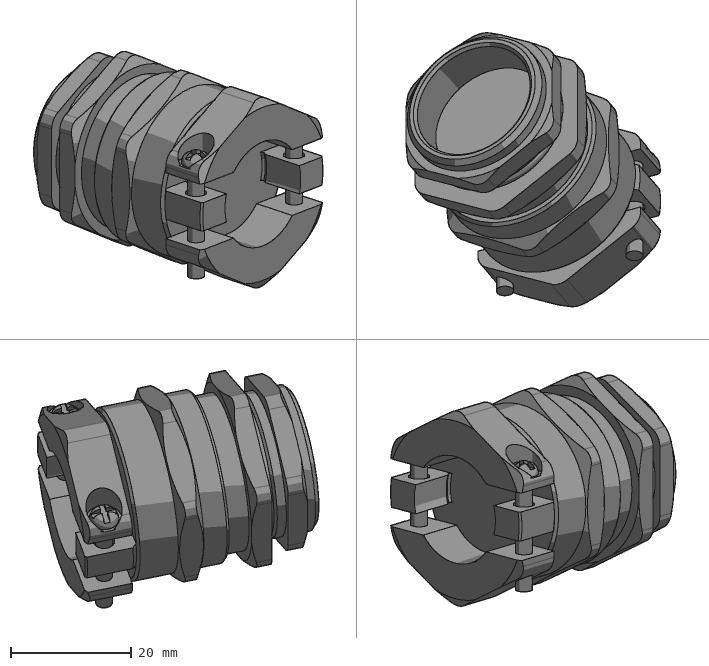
import cadquery as cq
import math


LENGTH = 41.2

BIG_FLATS = 30.0
NUT_FLATS = 26.95
HEX_CORNER_RADIUS = 3.0
HEX_BEVEL_ANGLE = 30.0

THREAD_RADIUS = 24.85 / 2
THREAD_CHAMFER = 0.82
THREAD_END = 7.4
GROOVE_BOTTOM = 7.85
SEAL_CENTER = 8.6
SEAL_CREST_RADIUS = 12.45
SEAL_SECTION_RADIUS = 0.82
ENTRY_BORE_RADIUS = 20.8 / 2
ENTRY_BORE_CHAMFER = 0.5
ENTRY_BORE_DEPTH = 7.55

NUT_START = 2.47
NUT_END = 5.85
NUT_FACE_RADIUS = 13.85

BODY_HEX_START = 9.05
BODY_HEX_END = 12.55
BODY_HEX_FACE_RADIUS = 15.1
NECK_RADIUS = 26.85 / 2
CAP_START = 16.25
CAP_END = 32.2
CAP_RADIUS = 29.5 / 2
CAP_CHAMFER = 0.5
CAP_HEX_START = 20.72
CAP_HEX_END = 25.15

CLAMP_START = 33.12
CLAMP_FACE_RADIUS = 15.4
CLAMP_BORE_RADIUS = 18.5 / 2
CLAMP_GAP = 11.7

LUG_RADIUS = BIG_FLATS / 2
LUG_HEIGHT = 5.03
LUG_START_CHAMFER = 0.75
LUG_END_CHAMFER = 0.35
LUG_HOLE_DIAMETER = 3.5
GRIP_GROOVE_RADIUS = 9.75
GRIP_GROOVE_SLOPE = 0.65

SCREW_X = 37.15
SCREW_Y = 11.95
SHANK_DIAMETER = 2.85
SCREW_TIP_Z = -12.28
SEAT_Z = 7.83
COUNTERBORE_DIAMETER = 6.0
HEAD_RADIUS = 2.47
HEAD_HEIGHT = 2.0
CROSS_WIDTH = 1.0
CROSS_DEPTH = 0.85


def revolve_about_x(profile):
    """Revolve a profile, drawn as (position along X, radius), about the gland axis."""
    return profile.close().revolve(360, (0, 0, 0), (1, 0, 0))


def hex_prism(start, end, flats):
    """Hexagon along X with two corners on the Z axis and rounded long edges."""
    corner_diameter = flats / math.cos(math.pi / 6)
    prism = cq.Workplane("YZ", origin=(start, 0, 0)).polygon(6, corner_diameter).extrude(end - start)
    upright = prism.rotate((0, 0, 0), (1, 0, 0), 90)
    return upright.edges("|X").fillet(HEX_CORNER_RADIUS)


def bevelled_hex(start, end, flats, start_face_radius=None, end_face_radius=None):
    """Hexagon whose corners are cut by a cone at each end that has a face radius."""
    outer = flats / math.cos(math.pi / 6) / 2
    slope = math.tan(math.radians(HEX_BEVEL_ANGLE))
    profile = cq.Workplane("XY").moveTo(start, 0)
    if start_face_radius:
        profile = profile.lineTo(start, start_face_radius)
        profile = profile.lineTo(start + (outer - start_face_radius) * slope, outer)
    else:
        profile = profile.lineTo(start, outer)
    if end_face_radius:
        profile = profile.lineTo(end - (outer - end_face_radius) * slope, outer)
        profile = profile.lineTo(end, end_face_radius)
    else:
        profile = profile.lineTo(end, outer)
    envelope = revolve_about_x(profile.lineTo(end, 0))
    return hex_prism(start, end, flats).intersect(envelope)


def seal_ring_radius(x):
    """Outer radius of the rounded sealing ring at a position along the axis."""
    rise = math.sqrt(SEAL_SECTION_RADIUS**2 - (x - SEAL_CENTER)**2)
    return SEAL_CREST_RADIUS - SEAL_SECTION_RADIUS + rise


def turned_body():
    """Entry thread, sealing ring, neck and cap as one turned shape."""
    profile = (
        cq.Workplane("XY")
        .moveTo(0, 0)
        .lineTo(0, THREAD_RADIUS - THREAD_CHAMFER)
        .lineTo(THREAD_CHAMFER, THREAD_RADIUS)
        .lineTo(THREAD_END, THREAD_RADIUS)
        .lineTo(GROOVE_BOTTOM, seal_ring_radius(GROOVE_BOTTOM))
        .threePointArc(
            (SEAL_CENTER, SEAL_CREST_RADIUS),
            (BODY_HEX_START, seal_ring_radius(BODY_HEX_START)),
        )
        .lineTo(BODY_HEX_START, NECK_RADIUS)
        .lineTo(CAP_START, NECK_RADIUS)
        .lineTo(CAP_START, CAP_RADIUS - CAP_CHAMFER)
        .lineTo(CAP_START + CAP_CHAMFER, CAP_RADIUS)
        .lineTo(CAP_END - CAP_CHAMFER, CAP_RADIUS)
        .lineTo(CAP_END, CAP_RADIUS - CAP_CHAMFER)
        .lineTo(CAP_END, 0)
    )
    return revolve_about_x(profile)


def entry_bore():
    """Blind bore from the thread end, with a chamfered mouth."""
    profile = (
        cq.Workplane("XY")
        .moveTo(0, 0)
        .lineTo(0, ENTRY_BORE_RADIUS + ENTRY_BORE_CHAMFER)
        .lineTo(ENTRY_BORE_CHAMFER, ENTRY_BORE_RADIUS)
        .lineTo(ENTRY_BORE_DEPTH, ENTRY_BORE_RADIUS)
        .lineTo(ENTRY_BORE_DEPTH, 0)
    )
    return revolve_about_x(profile)


def at_screws(shape):
    """Copies of a shape at both screw positions, joined into one tool."""
    return shape.translate((SCREW_X, SCREW_Y, 0)).union(shape.translate((SCREW_X, -SCREW_Y, 0)))


def clamp_lugs():
    """Two opposite slices of a chamfered ring on the cap face, each with a screw clearance hole."""
    groove_x = (CAP_END + CLAMP_START) / 2
    groove_start_radius = GRIP_GROOVE_RADIUS - (groove_x - CAP_END) * GRIP_GROOVE_SLOPE
    groove_end = groove_x + (GRIP_GROOVE_RADIUS - CLAMP_BORE_RADIUS) / GRIP_GROOVE_SLOPE
    profile = (
        cq.Workplane("XY")
        .moveTo(CAP_END, groove_start_radius)
        .lineTo(CAP_END, LUG_RADIUS - LUG_START_CHAMFER)
        .lineTo(CAP_END + LUG_START_CHAMFER, LUG_RADIUS)
        .lineTo(LENGTH - LUG_END_CHAMFER, LUG_RADIUS)
        .lineTo(LENGTH, LUG_RADIUS - LUG_END_CHAMFER)
        .lineTo(LENGTH, CLAMP_BORE_RADIUS)
        .lineTo(groove_end, CLAMP_BORE_RADIUS)
        .lineTo(groove_x, GRIP_GROOVE_RADIUS)
    )
    slab = cq.Workplane("XY").box(2 * LENGTH, BIG_FLATS, LUG_HEIGHT)
    hole = cq.Workplane("XY").circle(LUG_HOLE_DIAMETER / 2).extrude(LUG_HEIGHT, both=True)
    return revolve_about_x(profile).intersect(slab).cut(at_screws(hole))


def make_gland():
    body = turned_body()
    body = body.union(bevelled_hex(NUT_START, NUT_END, NUT_FLATS, start_face_radius=NUT_FACE_RADIUS))
    body = body.union(
        bevelled_hex(BODY_HEX_START, BODY_HEX_END, BIG_FLATS, end_face_radius=BODY_HEX_FACE_RADIUS)
    )
    body = body.union(bevelled_hex(CAP_HEX_START, CAP_HEX_END, BIG_FLATS, CAP_RADIUS, CAP_RADIUS))
    return body.cut(entry_bore()).union(clamp_lugs())


def make_screw():
    """Cross-slotted screw on the Z axis, with a rounded head sitting at the seat height."""
    top = SEAT_Z + HEAD_HEIGHT
    flat_radius = HEAD_RADIUS - HEAD_HEIGHT
    diagonal = HEAD_HEIGHT * math.sqrt(0.5)
    screw = (
        cq.Workplane("XZ")
        .moveTo(0, SCREW_TIP_Z)
        .lineTo(SHANK_DIAMETER / 2, SCREW_TIP_Z)
        .lineTo(SHANK_DIAMETER / 2, SEAT_Z)
        .lineTo(HEAD_RADIUS, SEAT_Z)
        .threePointArc((flat_radius + diagonal, SEAT_Z + diagonal), (flat_radius, top))
        .lineTo(0, top)
        .close()
        .revolve(360, (0, 0, 0), (0, 1, 0))
    )
    slot_floor = cq.Workplane("XY").workplane(offset=top - CROSS_DEPTH)
    for length, width in ((2 * HEAD_RADIUS, CROSS_WIDTH), (CROSS_WIDTH, 2 * HEAD_RADIUS)):
        screw = screw.cut(slot_floor.rect(length, width).extrude(CROSS_DEPTH))
    return screw


def make_clamp():
    """Bored hex split into an upper and a lower half, joined by the two screws."""
    clamp = bevelled_hex(CLAMP_START, LENGTH, BIG_FLATS, end_face_radius=CLAMP_FACE_RADIUS)
    bore = cq.Workplane("YZ").circle(CLAMP_BORE_RADIUS).extrude(LENGTH)
    gap = cq.Workplane("XY").box(2 * LENGTH, 2 * BIG_FLATS, CLAMP_GAP)
    counterbore = (
        cq.Workplane("XY").workplane(offset=SEAT_Z).circle(COUNTERBORE_DIAMETER / 2).extrude(BIG_FLATS)
    )
    halves = clamp.cut(bore).cut(gap).cut(at_screws(counterbore))
    return halves.union(at_screws(make_screw()))


gland = make_gland()
clamp = make_clamp()

result = cq.Compound.makeCompound([gland.val(), clamp.val()])